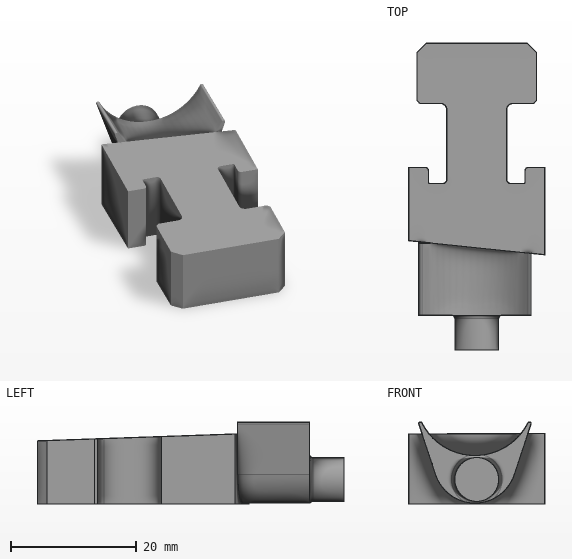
import cadquery as cq
import math

length = 49.1
block_width = 21.8
back_height = 10.1
top_slope = 2.0

head_width = 19.15
head_depth = 9.65
head_back_chamfer = 1.5
head_front_chamfer = 0.5
stem_width = 9.6
neck_top_radius = 1.0
neck_bottom_radius = 0.6
lip_inner_width = 15.4
lip_depth = 19.9
slot_depth = 22.45
lip_radius = 0.55
slot_corner_radius = 0.2
front_left_y = 17.5
front_right_y = 15.2

saddle_x = -0.3
saddle_front_y = 5.55
saddle_back_y = 17.1
saddle_base_z = 0.15
saddle_height = 13.1
belly_radius = 6.65
side_angle = 18.4
hollow_radius = 9.5
hollow_bottom_z = 7.75
tip_radius = 0.25

pin_diameter = 7.0
pin_z = 3.95
pin_root_radius = 0.55


def round_corners(body, x, y, radius):
    """Round the pair of upright edges at +x and -x."""
    reach = 0.05
    for side in (-1, 1):
        corner = cq.selectors.BoxSelector(
            (side * x - reach, y - reach, -length),
            (side * x + reach, y + reach, length),
        )
        body = body.edges("|Z").edges(corner).fillet(radius)
    return body


def make_block():
    half_block = block_width / 2
    half_head = head_width / 2
    half_stem = stem_width / 2
    half_lip = lip_inner_width / 2
    head_front_y = length - head_depth
    lip_y = length - lip_depth
    slot_y = length - slot_depth

    right_side = [
        (half_block, lip_y),
        (half_lip, lip_y),
        (half_lip, slot_y),
        (half_stem, slot_y),
        (half_stem, head_front_y),
        (half_head - head_front_chamfer, head_front_y),
        (half_head, head_front_y + head_front_chamfer),
        (half_head, length - head_back_chamfer),
        (half_head - head_back_chamfer, length),
    ]
    left_side = [(-x, y) for x, y in reversed(right_side)]
    front = [(-half_block, front_left_y), (half_block, front_right_y)]
    block = cq.Workplane("XY").polyline(front + right_side + left_side).close().extrude(saddle_height)

    block = round_corners(block, half_stem, head_front_y, neck_top_radius)
    block = round_corners(block, half_stem, slot_y, neck_bottom_radius)
    block = round_corners(block, half_lip, slot_y, slot_corner_radius)
    block = round_corners(block, half_lip, lip_y, lip_radius)

    end_height = back_height + length * math.tan(math.radians(top_slope))
    wedge = (
        cq.Workplane("YZ")
        .polyline([(0, 0), (length, 0), (length, back_height), (0, end_height)])
        .close()
        .extrude(block_width / 2, both=True)
    )
    return block.intersect(wedge)


def make_saddle():
    lean = math.radians(side_angle)
    belly_center_z = saddle_base_z + belly_radius
    flank_x = belly_radius * math.cos(lean)
    flank_z = belly_center_z - belly_radius * math.sin(lean)
    tip_outer_x = flank_x + (saddle_height - flank_z) * math.tan(lean)
    hollow_center_z = hollow_bottom_z + hollow_radius
    tip_inner_x = math.sqrt(hollow_radius**2 - (hollow_center_z - saddle_height) ** 2)

    saddle = (
        cq.Workplane("XZ", origin=(saddle_x, 0, 0))
        .moveTo(-tip_outer_x, saddle_height)
        .lineTo(-flank_x, flank_z)
        .threePointArc((0, saddle_base_z), (flank_x, flank_z))
        .lineTo(tip_outer_x, saddle_height)
        .lineTo(tip_inner_x, saddle_height)
        .threePointArc((0, hollow_bottom_z), (-tip_inner_x, saddle_height))
        .close()
        .extrude(-saddle_back_y)
        .faces(">Z")
        .edges("|Y")
        .fillet(tip_radius)
    )

    half_block = block_width / 2
    limit = (
        cq.Workplane("XY")
        .polyline([
            (-half_block, 0),
            (half_block, 0),
            (half_block, front_right_y),
            (-half_block, front_left_y),
        ])
        .close()
        .extrude(saddle_height)
    )
    return saddle, limit


def make_pin():
    """Pin with a concave flare at its root, revolved about its own axis."""
    radius = pin_diameter / 2
    flare_y = saddle_front_y - pin_root_radius
    arc_offset = pin_root_radius * (1 - math.sqrt(0.5))
    return (
        cq.Workplane("XY", origin=(0, 0, pin_z))
        .lineTo(radius, 0)
        .lineTo(radius, flare_y)
        .threePointArc(
            (radius + arc_offset, saddle_front_y - arc_offset),
            (radius + pin_root_radius, saddle_front_y),
        )
        .lineTo(0, saddle_front_y)
        .close()
        .revolve(360, (0, 0, 0), (0, 1, 0))
    )


saddle_bar, slanted_limit = make_saddle()
pin_space = cq.Workplane("XY").box(block_width, 2 * saddle_front_y, 2 * saddle_height)
saddle = saddle_bar.cut(pin_space)
saddle = saddle.intersect(slanted_limit)

pin = make_pin().intersect(saddle_bar)

result = make_block().union(saddle).union(pin)